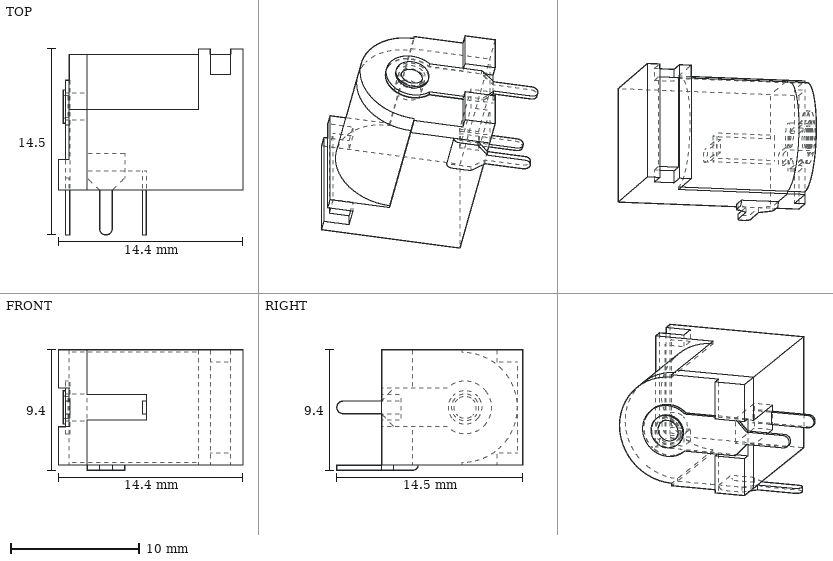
import cadquery as cq


jack_length = 14.4
jack_height = 9.0
top_z = jack_height / 2
flange_side_y = 4.5
pin_side_y = -6.5

barrel_radius = 4.3
barrel_y = -0.23

flange_start_x = 10.91
groove_start_x = 11.85
groove_end_x = 13.42
groove_reach = 2.0
groove_top_depth = 0.95
groove_side_depth = 0.43

cover_face_x = 0.84
cover_end_x = 2.236
step_y = pin_side_y + 2.4
tongue_width = 2.0
tongue_end_x = 6.85
tongue_depth = 1.5

pin_width = 1.0
pin_length = 3.5
pin_tip_y = pin_side_y - pin_length
shoulder_length = 0.94

rear_terminal_x = 0.54
rear_terminal_thickness = 0.35
rear_plate_width = 3.0
rear_disc_radius = 2.06

side_terminal_thickness = 0.3
side_terminal_x = tongue_end_x - side_terminal_thickness

bottom_plate_width = 2.94
bottom_plate_thickness = 0.4
bottom_plate_length = 2.85
bottom_terminal_x = cover_end_x + bottom_plate_width / 2

rivet_head_x = 0.37
rivet_head_radius = 1.31
rivet_shank_radius = 1.05
rivet_bore_radius = 0.86
rivet_bore_depth = 0.4
rivet_mouth_fillet = 0.19


def box(x_range, y_range, z_range):
    """Box spanning the given (low, high) range along each axis."""
    sizes = [high - low for low, high in (x_range, y_range, z_range)]
    corner = (x_range[0], y_range[0], z_range[0])
    return cq.Workplane("XY").box(*sizes, centered=False).translate(corner)


def cylinder(radius, x_start, x_end, y=0):
    """Cylinder along X."""
    return cq.Workplane("YZ", origin=(x_start, y, 0)).circle(radius).extrude(x_end - x_start)


def centred(width):
    """Range of the given width about zero."""
    return (-width / 2, width / 2)


def d_section(x_start, x_end):
    """Length of the D-shaped body: square toward the pins, round on the other side."""
    block = box((x_start, x_end), (pin_side_y, barrel_y), centred(jack_height))
    return block.union(cylinder(barrel_radius, x_start, x_end, barrel_y))


def pin_outline(plate_width, plate_start_y):
    """Upper edge of a plate that narrows through a sloped shoulder into a pin; local axes (Y, across)."""
    half_plate = plate_width / 2
    half_pin = pin_width / 2
    shoulder_y = pin_side_y + shoulder_length
    round_start_y = pin_tip_y + half_pin
    return [
        (plate_start_y, half_plate),
        (shoulder_y, half_plate),
        (pin_side_y, half_pin),
        (round_start_y, half_pin),
    ]


def pin_plate(plane, plate_width, plate_start_y, thickness):
    """Terminal plate with shoulders and a round-tipped pin, extruded from the given plane."""
    upper_edge = pin_outline(plate_width, plate_start_y)
    lower_edge = [(y, -across) for y, across in reversed(upper_edge)]
    return (
        cq.Workplane(plane)
        .polyline(upper_edge)
        .threePointArc((pin_tip_y, 0), lower_edge[0])
        .polyline(lower_edge[1:], includeCurrent=True)
        .close()
        .extrude(thickness)
    )


def make_rear_terminal_blank():
    """Rear terminal without its rivet hole: a disc, an arm and a pin."""
    plane = cq.Plane.YZ(origin=(rear_terminal_x, 0, 0))
    arm = pin_plate(plane, rear_plate_width, 0, rear_terminal_thickness)
    disc_end_x = rear_terminal_x + rear_terminal_thickness
    return arm.union(cylinder(rear_disc_radius, rear_terminal_x, disc_end_x))


def make_rivet_shank():
    return cylinder(rivet_shank_radius, rear_terminal_x, cover_end_x)


def make_rear_terminal():
    return make_rear_terminal_blank().cut(make_rivet_shank())


def make_rivet():
    """Rivet through the rear terminal and the cover, with a rounded mouth on its blind bore."""
    head = cylinder(rivet_head_radius, rivet_head_x, rear_terminal_x)
    bore = cylinder(rivet_bore_radius, rivet_head_x, rivet_head_x + rivet_bore_depth)
    hollow = head.union(make_rivet_shank()).cut(bore)
    mouth = cq.selectors.RadiusNthSelector(0)
    return hollow.faces("<X").edges(mouth).fillet(rivet_mouth_fillet)


def make_side_terminal():
    """Straight pin standing in a slot at the end of the tongue."""
    plane = cq.Plane.YZ(origin=(side_terminal_x, 0, 0))
    inner_end_y = pin_side_y + tongue_depth
    return pin_plate(plane, pin_width, inner_end_y, side_terminal_thickness)


def make_bottom_terminal():
    """Plate under the housing, rounded along the lower edge of its inner end."""
    plane = cq.Plane(
        origin=(bottom_terminal_x, 0, -top_z), xDir=(0, 1, 0), normal=(0, 0, -1)
    )
    inner_end_y = pin_side_y + bottom_plate_length
    plate = pin_plate(plane, bottom_plate_width, inner_end_y, bottom_plate_thickness)
    bend_y = inner_end_y - bottom_plate_thickness
    bend_x_range = (cover_end_x, cover_end_x + bottom_plate_width)
    square_end = box(bend_x_range, (bend_y, inner_end_y), (-top_z - bottom_plate_thickness, -top_z))
    bend = cylinder(bottom_plate_thickness, *bend_x_range).translate((0, bend_y, -top_z))
    return plate.cut(square_end.cut(bend))


def make_tongue():
    y_range = (pin_side_y, pin_side_y + tongue_depth)
    return box((cover_end_x, tongue_end_x), y_range, centred(tongue_width))


def make_cover(side_terminal):
    """Rear cover with a step on each side of the terminal channel and a tongue."""
    step = box((0, cover_face_x), (pin_side_y, step_y), centred(jack_height))
    channel = box((0, cover_face_x), (pin_side_y, step_y), centred(rear_plate_width))
    cover = d_section(cover_face_x, cover_end_x).union(step.cut(channel)).union(make_tongue())
    return cover.cut(make_rear_terminal_blank()).cut(make_rivet_shank()).cut(side_terminal)


def make_flange_groove():
    """Groove in the top, side and bottom of the flange, leaving a rectangular core."""
    x_range = (groove_start_x, groove_end_x)
    y_range = (flange_side_y - groove_reach, flange_side_y)
    core_y_range = (y_range[0], flange_side_y - groove_side_depth)
    core_height = jack_height - 2 * groove_top_depth
    core = box(x_range, core_y_range, centred(core_height))
    return box(x_range, y_range, centred(jack_height)).cut(core)


def make_housing():
    """D-shaped housing with a full-width flange and a recess for the cover's tongue."""
    flange = box((flange_start_x, jack_length), (pin_side_y, flange_side_y), centred(jack_height))
    housing = d_section(cover_end_x, flange_start_x).union(flange)
    return housing.cut(make_flange_groove()).cut(make_tongue())


side_terminal = make_side_terminal()
bottom_terminal = make_bottom_terminal()
rear_terminal = make_rear_terminal()
rivet = make_rivet()
cover = make_cover(side_terminal)
housing = make_housing()

result = cq.Compound.makeCompound([
    housing.val(),
    cover.val(),
    rear_terminal.val(),
    rivet.val(),
    side_terminal.val(),
    bottom_terminal.val(),
])